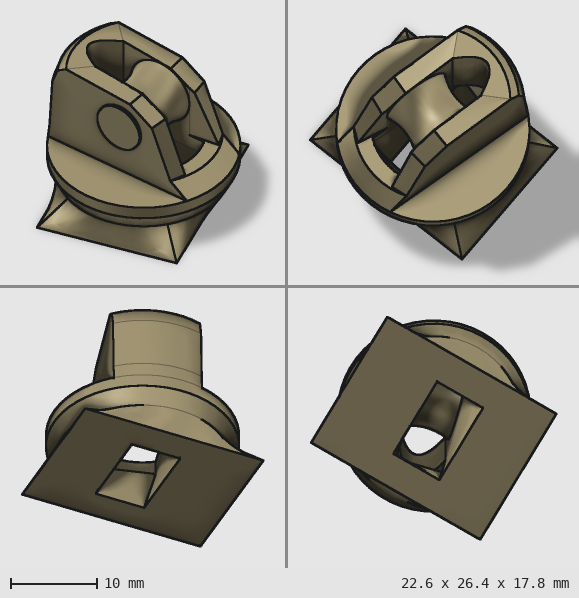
import cadquery as cq
import math

flange_bottom = 2.65
rim_bottom = 4.73
rim_top = 6.35
ledge_top = 8.22
total_height = 17.8

foot_length = 22.8
foot_width = 17.45
foot_angle = 14.4
foot_shift = -0.13
flange_radius = 10.22
rim_radius = 11.23

post_half_width = 5.2
ledge_radius = 9.2
shoulder_height = 14.93
crown_height = 17.01
back_radii = [(11.05, ledge_top), (10.7, shoulder_height), (10.05, crown_height), (9.0, total_height)]

slot_half_width = 2.77
slot_tip = -7.8
slot_nose_length = 2.9
slot_nose_slope = 0.5
slot_end_radius = 7.19
slot_flare_half_width = 3.35
slot_end_x = math.sqrt(slot_end_radius**2 - slot_half_width**2)
flare_end_x = math.sqrt(ledge_radius**2 - slot_flare_half_width**2)

opening_half_width = 5.0
opening_front = -2.48
opening_back = 3.7
opening_upper_left = -6.35

roller_x = 0.37
roller_z = 12.95
roller_waist_radius = 3.57
roller_end_radius = 4.17
pin_radius = 3.0
pin_projection = 0.32


def turned_point(u, v):
    """Move a point from the foot's own axes to the part axes."""
    angle = math.radians(foot_angle)
    x = foot_shift + u * math.cos(angle) - v * math.sin(angle)
    return (x, u * math.sin(angle) + v * math.cos(angle))


def make_foot():
    """Ruled blend whose corner edges run radially up to the flange circle."""
    half_u = foot_width / 2
    half_v = foot_length / 2
    corner_signs = [(-1, -1), (1, -1), (1, 1), (-1, 1)]
    corners = [turned_point(i * half_u, j * half_v) for i, j in corner_signs]
    angles = [math.atan2(y, x) for x, y in corners]

    def flange_point(angle):
        return cq.Vector(flange_radius * math.cos(angle), flange_radius * math.sin(angle), flange_bottom)

    sides = []
    bottom_edges = []
    top_edges = []
    for i in range(len(corners)):
        j = (i + 1) % len(corners)
        sweep = (angles[j] - angles[i]) % (2 * math.pi)
        bottom = cq.Edge.makeLine(cq.Vector(*corners[i], 0), cq.Vector(*corners[j], 0))
        top = cq.Edge.makeThreePointArc(
            flange_point(angles[i]), flange_point(angles[i] + sweep / 2), flange_point(angles[j])
        )
        bottom_edges.append(bottom)
        top_edges.append(top)
        sides.append(cq.Face.makeRuledSurface(bottom, top))
    caps = [cq.Face.makeFromWires(cq.Wire.assembleEdges(edges)) for edges in (bottom_edges, top_edges)]
    solid = cq.Solid.makeSolid(cq.Shell.makeShell(sides + caps))
    return cq.Workplane(obj=solid.fix())


def make_flange():
    profile = [
        (0, flange_bottom),
        (flange_radius, flange_bottom),
        (rim_radius, rim_bottom),
        (rim_radius, rim_top),
        (0, rim_top),
    ]
    return cq.Workplane("XZ").polyline(profile).close().revolve(360, (0, 0), (0, 1))


def roof_cutter(side):
    """Space above one cheek, whose sloping roof rises slightly toward the slot."""
    outer_ledge_x = math.sqrt(ledge_radius**2 - post_half_width**2)
    outer_xs = (-7.42, 1.8, 4.95, outer_ledge_x)
    inner_xs = (-4.95, 1.88, 5.23, flare_end_x)
    heights = (total_height, crown_height, shoulder_height, ledge_top)

    def section(xs, y):
        points = [(x, y, z) for x, z in zip(xs, heights)]
        points += [(rim_radius, y, ledge_top), (rim_radius, y, total_height)]
        return cq.Wire.makePolygon([cq.Vector(*p) for p in points], close=True)

    outer = section(outer_xs, side * post_half_width)
    inner = section(inner_xs, side * slot_half_width)
    return cq.Workplane(obj=cq.Solid.makeLoft([outer, inner], True))


def make_post():
    """Round tapered back half and ledged front half, trimmed to a flat-sided slab."""
    back_profile = [(0, rim_top), (rim_radius, rim_top)] + back_radii + [(0, total_height)]
    front_profile = [
        (0, rim_top),
        (rim_radius, rim_top),
        (ledge_radius, ledge_top),
        (ledge_radius, total_height),
        (0, total_height),
    ]
    size = 2 * rim_radius
    front_half = cq.Workplane("XY").box(rim_radius, size, size, (False, True, False))
    back_half = front_half.translate((-rim_radius, 0, 0))
    back = cq.Workplane("XZ").polyline(back_profile).close().revolve(360, (0, 0), (0, 1))
    front = cq.Workplane("XZ").polyline(front_profile).close().revolve(360, (0, 0), (0, 1))
    slab = cq.Workplane("XY").box(size, 2 * post_half_width, size, (True, True, False))
    post = back.intersect(back_half).union(front.intersect(front_half)).intersect(slab)
    for side in (-1, 1):
        post = post.cut(roof_cutter(side))
    return post


def make_slot():
    """Slot with a pointed nose, open above the ledge at the front."""
    nose_end = slot_tip + slot_nose_length
    nose_points = [(slot_tip, 0), (nose_end, -slot_half_width)]
    nose_tangents = [(-1, -slot_nose_slope), (0, -1), (1, -slot_nose_slope)]
    slot = (
        cq.Workplane("XY", origin=(0, 0, rim_top))
        .moveTo(slot_end_x, -slot_half_width)
        .threePointArc((slot_end_radius, 0), (slot_end_x, slot_half_width))
        .lineTo(nose_end, slot_half_width)
        .spline(nose_points, tangents=nose_tangents, includeCurrent=True)
        .close()
        .extrude(total_height - rim_top)
    )
    flare_start = roller_x + roller_end_radius
    flare_outline = [
        (flare_start, -slot_half_width),
        (flare_end_x, -slot_flare_half_width),
        (rim_radius, -slot_flare_half_width),
        (rim_radius, slot_flare_half_width),
        (flare_end_x, slot_flare_half_width),
        (flare_start, slot_half_width),
    ]
    flare = cq.Workplane("XY", origin=(0, 0, ledge_top)).polyline(flare_outline).close()
    return slot.union(flare.extrude(total_height - ledge_top))


def make_opening():
    """Passage twisting from the straight slot to a turned rectangle underneath."""
    upper = [
        (opening_upper_left, -slot_half_width),
        (slot_end_x, -slot_half_width),
        (slot_end_x, slot_half_width),
        (opening_upper_left, slot_half_width),
    ]
    lower = [
        turned_point(-opening_half_width, opening_front),
        turned_point(opening_half_width, opening_front),
        turned_point(opening_half_width, opening_back),
        turned_point(-opening_half_width, opening_back),
    ]
    wires = [
        cq.Wire.makePolygon([cq.Vector(x, y, z) for x, y in outline], close=True)
        for outline, z in ((lower, 0), (upper, rim_top))
    ]
    return cq.Workplane(obj=cq.Solid.makeLoft(wires, True))


def make_roller():
    """Waisted roller spanning the slot, with its ends set into the cheeks."""
    roller = (
        cq.Workplane("XY")
        .moveTo(0, -slot_half_width)
        .lineTo(roller_end_radius, -slot_half_width)
        .threePointArc((roller_waist_radius, 0), (roller_end_radius, slot_half_width))
        .lineTo(0, slot_half_width)
        .close()
        .revolve(360, (0, 0), (0, 1))
        .translate((roller_x, 0, roller_z))
    )
    pin = (
        cq.Workplane("XZ", origin=(roller_x, 0, roller_z))
        .circle(pin_radius)
        .extrude(post_half_width + pin_projection)
    )
    return roller.union(pin)


body = make_foot().union(make_flange()).union(make_post())
body = body.cut(make_slot()).cut(make_opening())
result = body.union(make_roller())